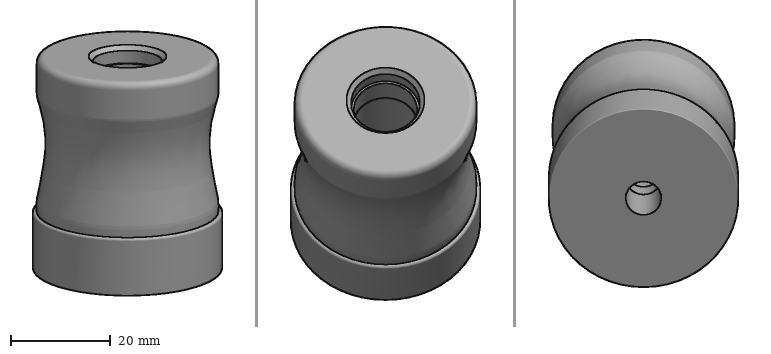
import cadquery as cq
import math

base_diameter = 38.1
base_radius = base_diameter / 2
seat_height = 12.05
seat_bevel_angle = 10.0
rim_fillet = 0.5
foot_fillet = 0.2

total_height = 44.45
grip_radius = 18.25
top_fillet = 1.5
lower_shoulder_height = 14.0
upper_shoulder_height = 36.55
lower_shoulder_blend = 4.9
upper_shoulder_blend = 1.85

waist_bottom_radius = 17.0
waist_bottom_height = 21.1
waist_radius = 16.5
waist_height = 26.3
waist_top_radius = 17.55
waist_top_height = 33.85

mouth_radius = 6.9
mouth_chamfer = 0.95
mouth_depth = 3.55
neck_radius = 6.35
neck_depth = 8.9

cavity_radius = 7.0
cavity_floor_height = 16.9
flare_angle = 25.0
flare_blend = 2.0
floor_fillet = 0.95

hole_radius = 3.55
hole_edge_fillet = 0.3


def tangent_of(angle_degrees):
    return math.tan(math.radians(angle_degrees))


def revolve_about_z(profile):
    """Turn a closed radius-height outline into a solid of revolution."""
    return profile.close().revolve(360, (0, 0, 0), (0, 1, 0))


def circles_at(radius, height, margin=0.022):
    """Select the circular edges of one radius centred on Z at one height."""
    outer = cq.selectors.BoxSelector(
        (-radius - margin, -radius - margin, height - margin),
        (radius + margin, radius + margin, height + margin),
        boundingbox=True,
    )
    inner = cq.selectors.BoxSelector(
        (-radius + margin, -radius + margin, height - margin),
        (radius - margin, radius - margin, height + margin),
        boundingbox=True,
    )
    return outer - inner


def make_base():
    rim_height = seat_height - (base_radius - grip_radius) * tangent_of(seat_bevel_angle)
    base = revolve_about_z(
        cq.Workplane("XZ")
        .moveTo(hole_radius, 0)
        .lineTo(base_radius, 0)
        .lineTo(base_radius, rim_height)
        .lineTo(grip_radius, seat_height)
        .lineTo(hole_radius, seat_height)
    )
    base = base.edges(circles_at(base_radius, rim_height)).fillet(rim_fillet)
    return base.edges(circles_at(base_radius, 0)).fillet(foot_fillet)


def make_grip_outside():
    outside = revolve_about_z(
        cq.Workplane("XZ")
        .moveTo(0, seat_height)
        .lineTo(grip_radius, seat_height)
        .lineTo(grip_radius, lower_shoulder_height)
        .lineTo(waist_bottom_radius, waist_bottom_height)
        .threePointArc((waist_radius, waist_height), (waist_top_radius, waist_top_height))
        .lineTo(grip_radius, upper_shoulder_height)
        .lineTo(grip_radius, total_height)
        .lineTo(0, total_height)
    )
    outside = outside.edges(circles_at(grip_radius, total_height)).fillet(top_fillet)
    outside = outside.edges(circles_at(grip_radius, upper_shoulder_height)).fillet(upper_shoulder_blend)
    return outside.edges(circles_at(grip_radius, lower_shoulder_height)).fillet(lower_shoulder_blend)


def make_grip_bore():
    """Space inside the grip: chamfered mouth, neck, and a wider cavity with a rounded floor."""
    ledge_height = total_height - mouth_depth
    neck_bottom = total_height - neck_depth
    flare_bottom = neck_bottom - (cavity_radius - neck_radius) / tangent_of(flare_angle)
    bore = revolve_about_z(
        cq.Workplane("XZ")
        .moveTo(0, cavity_floor_height)
        .lineTo(cavity_radius, cavity_floor_height)
        .lineTo(cavity_radius, flare_bottom)
        .lineTo(neck_radius, neck_bottom)
        .lineTo(neck_radius, ledge_height)
        .lineTo(mouth_radius, ledge_height)
        .lineTo(mouth_radius, total_height - mouth_chamfer)
        .lineTo(mouth_radius + mouth_chamfer, total_height)
        .lineTo(0, total_height)
    )
    bore = bore.edges(circles_at(cavity_radius, flare_bottom)).fillet(flare_blend)
    return bore.edges(circles_at(cavity_radius, cavity_floor_height)).fillet(floor_fillet)


def make_grip():
    screw_hole = cq.Workplane("XY").circle(hole_radius).extrude(total_height)
    grip = make_grip_outside().cut(make_grip_bore()).cut(screw_hole)
    return grip.edges(circles_at(hole_radius, cavity_floor_height)).fillet(hole_edge_fillet)


base = make_base()
grip = make_grip()

result = cq.Compound.makeCompound([base.val(), grip.val()])